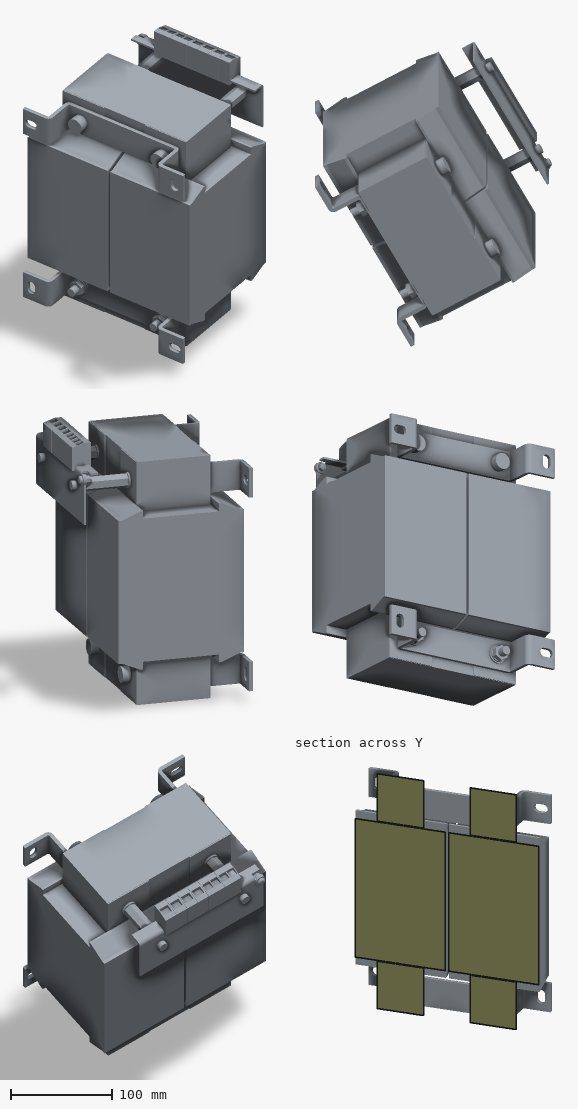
import cadquery as cq

CORE_WIDTH = 149.8
CORE_DEPTH = 75.2
CORE_HEIGHT = 250.5
YOKE_HEIGHT = 51.5
COVER_THICKNESS = 1.0
COVER_INNER = 24.5
COVER_INSET = 0.3
COVER_FACE = CORE_DEPTH / 2 + COVER_THICKNESS

COIL_SPAN = 196.5
COIL_GAP = 3.2
COIL_DEPTH = 130.5
RIM_HEIGHT = 8.0
RIM_INNER = 39.5
RIM_TOP = 41.8
RIM_FOOT = 61.5

BRACKET_HEIGHT = 30.5
BRACKET_SPAN = 194.0
BRACKET_THICKNESS = 4.0
BRACKET_LEG = 68.5
FOOT_FACE = 75.2
BEND_INSIDE = 1.5
BEND_OUTSIDE = BEND_INSIDE + BRACKET_THICKNESS
BRACKET_FACE = COVER_FACE + BRACKET_THICKNESS
SLOT_LENGTH = 14.5
SLOT_WIDTH = 9.0
SLOT_X = 87.0

LOWER_AXIS = 25.3
UPPER_AXIS = 225.2
BOLT_X = 49.8
BOLT_HEAD_DIAMETER = 16.5
BOLT_HEAD_HEIGHT = 7.0
SPRING_WASHER_DIAMETER = 16.0
FLAT_WASHER_DIAMETER = 18.5
WASHER_THICKNESS = 1.5
NUT_ACROSS_CORNERS = 15.7
NUT_HEIGHT = 5.3
STUD_DIAMETER = 8.8
STUD_END = 8.3

STANDOFF_ACROSS_CORNERS = 14.5
STANDOFF_COLLAR_DIAMETER = 16.3
STANDOFF_COLLAR = 1.9
PLATE_THICKNESS = 1.9
PLATE_REAR = 93.3
PLATE_FRONT = PLATE_REAR - PLATE_THICKNESS
PLATE_BOTTOM = 191.0
FLANGE_TOP = 243.5
FLANGE_THICKNESS = 2.0
FLANGE_FRONT = 78.5
PLATE_BEND = 3.7
PLATE_BOLT_DIAMETER = 9.5
PLATE_BOLT_END = 98.5
PLATE_WASHER_DIAMETER = 9.0
PLATE_WASHER_THICKNESS = 1.3

EARTH_X = -70.6
EARTH_Z = 236.5
EARTH_HEAD_DIAMETER = 8.3
EARTH_HEAD_END = 97.5
EARTH_HEAD_ROUNDING = 1.5
EARTH_WASHER_DIAMETER = 11.5
EARTH_WASHER_THICKNESS = 1.0
EARTH_NUT_DIAMETER = 8.0
EARTH_NUT_END = 86.4
NOTCH_RIGHT = -65.0
NOTCH_FRONT = 86.5
NOTCH_BOTTOM = 240.7

TERMINAL_LEFT = -45.8
WIDE_TERMINAL = 19.7
NARROW_TERMINAL = 13.0
WIDE_COUNT = 2
NARROW_COUNT = 4
TERMINAL_JOINT = 0.3
TERMINAL_FRONT = 76.5
TERMINAL_REAR = 96.0
TERMINAL_BOTTOM = 238.8
TERMINAL_TOP = 266.5
TERMINAL_REAR_TOP = 262.5
SLOPE_START = 84.0
POCKET_FRONT = 83.2
POCKET_REAR = 90.5
POCKET_FLOOR = 262.3
WIDE_POCKETS = [(0.8, 8.3), (10.0, 8.3)]
NARROW_POCKETS = [(1.5, 10.0)]


def box(x0, x1, y0, y1, z0, z1):
    """Box between two opposite corners."""
    return cq.Workplane("XY").box(x1 - x0, y1 - y0, z1 - z0, centered=False).translate((x0, y0, z0))


def cross_section(x):
    """YZ plane at the given X, extruding toward +X."""
    return cq.Workplane("YZ", origin=(x, 0, 0))


def facing_y(x, y, z):
    """XZ plane at a point, with its normal along +Y."""
    return cq.Workplane(cq.Plane(origin=(x, y, z), xDir=(-1, 0, 0), normal=(0, 1, 0)))


def disc(x, z, diameter, y0, y1):
    """Cylinder along Y."""
    return facing_y(x, y0, z).circle(diameter / 2).extrude(y1 - y0)


def hexagon(x, z, across_corners, y0, y1):
    """Hexagonal bar along Y with one corner pointing up."""
    bar = facing_y(x, y0, z).transformed(rotate=(0, 0, 90))
    return bar.polygon(6, across_corners).extrude(y1 - y0)


def yoke(bottom):
    """Horizontal core limb with two cover sheets on its front and two on its rear."""
    half = CORE_WIDTH / 2
    depth = CORE_DEPTH / 2
    top = bottom + YOKE_HEIGHT
    limb = box(-half, half, -depth, depth, bottom, top)
    cover_bottom = bottom + COVER_INSET
    cover_top = top - COVER_INSET
    for x0, x1 in ((COVER_INSET - half, -COVER_INNER), (COVER_INNER, half - COVER_INSET)):
        limb = limb.union(box(x0, x1, -COVER_FACE, COVER_FACE, cover_bottom, cover_top))
    return limb


def coil(x0, x1):
    """Winding block whose bevelled rims embrace both yokes."""
    seat_bottom = YOKE_HEIGHT
    seat_top = CORE_HEIGHT - YOKE_HEIGHT
    rim_bottom = seat_bottom - RIM_HEIGHT
    rim_top = seat_top + RIM_HEIGHT
    side = COIL_DEPTH / 2
    rear_upper = [(RIM_INNER, seat_top), (RIM_INNER, rim_top), (RIM_TOP, rim_top),
                  (RIM_FOOT, seat_top), (side, seat_top)]
    rear_lower = [(side, seat_bottom), (RIM_FOOT, seat_bottom), (RIM_TOP, rim_bottom),
                  (RIM_INNER, rim_bottom), (RIM_INNER, seat_bottom)]
    rear = rear_upper + rear_lower
    front = [(-y, z) for y, z in reversed(rear)]
    return cross_section(x0).polyline(rear + front).close().extrude(x1 - x0)


def bracket(axis, upright_side):
    """Hat-shaped strip with two feet; the foot on upright_side has the upright slot."""
    t = BRACKET_THICKNESS
    end = BRACKET_SPAN / 2
    leg = BRACKET_LEG
    right = [(leg - t, -BRACKET_FACE), (leg - t, -FOOT_FACE), (end, -FOOT_FACE),
             (end, -FOOT_FACE + t), (leg, -FOOT_FACE + t), (leg, -COVER_FACE)]
    left = [(-x, y) for x, y in reversed(right)]
    bottom = axis - BRACKET_HEIGHT / 2
    base = cq.Workplane("XY", origin=(0, 0, bottom))
    strip = base.polyline(right + left).close().extrude(BRACKET_HEIGHT)

    outside = [(leg, -COVER_FACE), (leg - t, -FOOT_FACE)]
    inside = [(leg - t, -BRACKET_FACE), (leg, -FOOT_FACE + t)]
    for corners, radius in ((outside, BEND_OUTSIDE), (inside, BEND_INSIDE)):
        for x, y in corners:
            for side in (-1, 1):
                bend = cq.selectors.NearestToPointSelector((side * x, y, axis))
                strip = strip.edges("|Z").edges(bend).fillet(radius)

    for side in (-1, 1):
        angle = 90 if side == upright_side else 0
        slot = facing_y(side * SLOT_X, -FOOT_FACE, axis).slot2D(SLOT_LENGTH, SLOT_WIDTH, angle).extrude(t)
        strip = strip.cut(slot)
    return strip


def front_bolt(x):
    """Cylindrical head on a double washer, against the upper bracket."""
    seat = BRACKET_FACE + 2 * WASHER_THICKNESS
    washer = disc(x, UPPER_AXIS, SPRING_WASHER_DIAMETER, -seat, -BRACKET_FACE)
    return washer.union(disc(x, UPPER_AXIS, BOLT_HEAD_DIAMETER, -seat - BOLT_HEAD_HEIGHT, -seat))


def rear_bolt(x):
    """Cylindrical head on a washer, against the rear of the lower yoke."""
    seat = COVER_FACE + WASHER_THICKNESS
    washer = disc(x, LOWER_AXIS, SPRING_WASHER_DIAMETER, COVER_FACE, seat)
    return washer.union(disc(x, LOWER_AXIS, BOLT_HEAD_DIAMETER, seat, seat + BOLT_HEAD_HEIGHT))


def front_nut(x):
    """Flat washer, spring washer, nut and thread end, against the lower bracket."""
    spring_seat = BRACKET_FACE + WASHER_THICKNESS
    nut_seat = spring_seat + WASHER_THICKNESS
    nut_end = nut_seat + NUT_HEIGHT
    washer = disc(x, LOWER_AXIS, FLAT_WASHER_DIAMETER, -spring_seat, -BRACKET_FACE)
    spring = disc(x, LOWER_AXIS, SPRING_WASHER_DIAMETER, -nut_seat, -spring_seat)
    nut = hexagon(x, LOWER_AXIS, NUT_ACROSS_CORNERS, -nut_end, -nut_seat)
    stud = disc(x, LOWER_AXIS, STUD_DIAMETER, -nut_end - STUD_END, -nut_end)
    return washer.union(spring).union(nut).union(stud)


def standoff(x):
    """Hexagonal post with a collar at the core and a bolt behind the plate."""
    collar = disc(x, UPPER_AXIS, STANDOFF_COLLAR_DIAMETER, COVER_FACE, COVER_FACE + STANDOFF_COLLAR)
    post = hexagon(x, UPPER_AXIS, STANDOFF_ACROSS_CORNERS, COVER_FACE, PLATE_FRONT)
    seat = PLATE_REAR + PLATE_WASHER_THICKNESS
    washer = disc(x, UPPER_AXIS, PLATE_WASHER_DIAMETER, PLATE_REAR, seat)
    head = disc(x, UPPER_AXIS, PLATE_BOLT_DIAMETER, seat, PLATE_BOLT_END)
    return collar.union(post).union(washer).union(head)


def terminal_plate():
    """Upright plate bent forward into a flange, with a notched corner."""
    left = -CORE_WIDTH / 2
    profile = [(PLATE_REAR, PLATE_BOTTOM), (PLATE_REAR, FLANGE_TOP), (FLANGE_FRONT, FLANGE_TOP),
               (FLANGE_FRONT, FLANGE_TOP - FLANGE_THICKNESS), (PLATE_FRONT, FLANGE_TOP - FLANGE_THICKNESS),
               (PLATE_FRONT, PLATE_BOTTOM)]
    plate = cross_section(left).polyline(profile).close().extrude(CORE_WIDTH)
    plate = plate.edges("|X and >Y and >Z").fillet(PLATE_BEND)
    return plate.cut(box(left, NOTCH_RIGHT, NOTCH_FRONT, PLATE_REAR, NOTCH_BOTTOM, FLANGE_TOP))


def earth_screw():
    """Screw with a washer on each side of the plate and a nut in front."""
    rear_seat = PLATE_REAR + EARTH_WASHER_THICKNESS
    front_seat = PLATE_FRONT - EARTH_WASHER_THICKNESS
    washers = disc(EARTH_X, EARTH_Z, EARTH_WASHER_DIAMETER, front_seat, rear_seat)
    head = disc(EARTH_X, EARTH_Z, EARTH_HEAD_DIAMETER, rear_seat, EARTH_HEAD_END)
    head = head.faces(">Y").edges().fillet(EARTH_HEAD_ROUNDING)
    nut = hexagon(EARTH_X, EARTH_Z, EARTH_NUT_DIAMETER, EARTH_NUT_END, front_seat)
    return washers.union(head).union(nut)


def terminal(x, width, pockets):
    """Block with a sloping top and flat-floored wire pockets."""
    profile = [(TERMINAL_FRONT, TERMINAL_BOTTOM), (TERMINAL_REAR, TERMINAL_BOTTOM),
               (TERMINAL_REAR, TERMINAL_REAR_TOP), (SLOPE_START, TERMINAL_TOP),
               (TERMINAL_FRONT, TERMINAL_TOP)]
    block = cross_section(x).polyline(profile).close().extrude(width - TERMINAL_JOINT)
    for start, pocket_width in pockets:
        left = x + start
        right = left + pocket_width
        block = block.cut(box(left, right, POCKET_FRONT, POCKET_REAR, POCKET_FLOOR, TERMINAL_TOP))
    return block


result = yoke(0).union(yoke(CORE_HEIGHT - YOKE_HEIGHT))
result = result.union(coil(-COIL_SPAN / 2, -COIL_GAP / 2))
result = result.union(coil(COIL_GAP / 2, COIL_SPAN / 2))

result = result.union(bracket(LOWER_AXIS, -1))
result = result.union(bracket(UPPER_AXIS, 1))

result = result.union(terminal_plate()).union(earth_screw())

for bolt_x in (-BOLT_X, BOLT_X):
    for fitting in (front_bolt, rear_bolt, front_nut, standoff):
        result = result.union(fitting(bolt_x))

terminal_x = TERMINAL_LEFT
wide_blocks = [(WIDE_TERMINAL, WIDE_POCKETS)] * WIDE_COUNT
narrow_blocks = [(NARROW_TERMINAL, NARROW_POCKETS)] * NARROW_COUNT
for block_width, block_pockets in wide_blocks + narrow_blocks:
    result = result.union(terminal(terminal_x, block_width, block_pockets))
    terminal_x += block_width